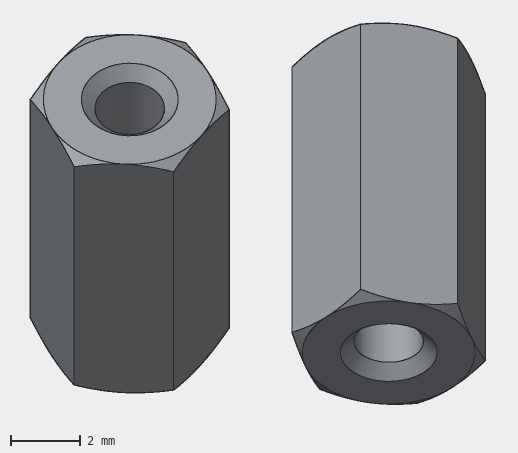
import cadquery as cq
import math

length = 10
across_flats = 5
bore_diameter = 2.01
countersink_diameter = 2.8
corner_chamfer_angle = 30
countersink_angle = 45

across_corners = across_flats / math.cos(math.radians(30))
flat_radius = across_flats / 2
corner_radius = across_corners / 2
bore_radius = bore_diameter / 2
countersink_radius = countersink_diameter / 2
chamfer_drop = (corner_radius - flat_radius) * math.tan(math.radians(corner_chamfer_angle))
countersink_depth = (countersink_radius - bore_radius) * math.tan(math.radians(countersink_angle))

hex_bar = cq.Workplane("XY").polygon(6, across_corners).extrude(length)

turned_envelope = (
    cq.Workplane("XZ")
    .moveTo(countersink_radius, 0)
    .lineTo(flat_radius, 0)
    .lineTo(corner_radius, chamfer_drop)
    .lineTo(corner_radius, length - chamfer_drop)
    .lineTo(flat_radius, length)
    .lineTo(countersink_radius, length)
    .lineTo(bore_radius, length - countersink_depth)
    .lineTo(bore_radius, countersink_depth)
    .close()
    .revolve(360, (0, 0, 0), (0, 1, 0))
)

result = hex_bar.intersect(turned_envelope)